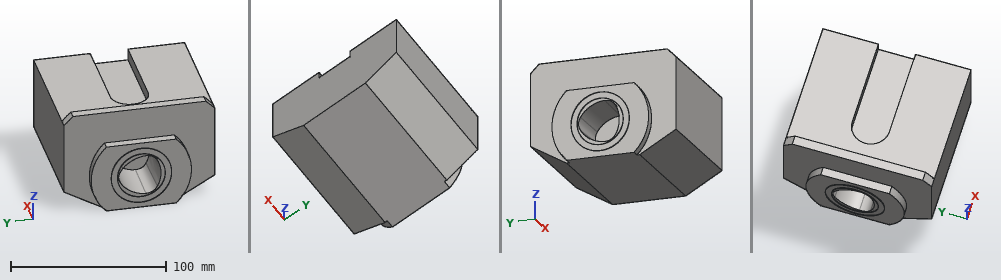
import cadquery as cq
import math

WIDTH = 100.0
BODY_LENGTH = 87.0
BODY_HEIGHT = 64.0
PLATE_HEIGHT = 70.0
PLATE_THICKNESS = 6.0
PLATE_CHAMFER = 6.0
BOTTOM_BEVEL_WIDTH = 25.0
BOTTOM_BEVEL_ANGLE = 30.0
BOTTOM_BEVEL_HEIGHT = BOTTOM_BEVEL_WIDTH * math.tan(math.radians(BOTTOM_BEVEL_ANGLE))

FLANGE_DIAMETER = 66.4
FLANGE_HEIGHT = 47.6
FLANGE_THICKNESS = 5.5
RING_OUTER_DIAMETER = 40.0
RING_INNER_DIAMETER = 31.6
RING_THICKNESS = 0.5
AXIS_HEIGHT = FLANGE_HEIGHT / 2

SLOT_WIDTH = 25.0
SLOT_LENGTH = 70.0
SLOT_DEPTH = 8.0

BORE_MEAN_DIAMETER = 28.0
BORE_ECCENTRICITY = 1.0
BORE_DEPTH = 30.0
BORE_TAPER = 1 / 20
LOBES = 3
POINTS_PER_SPAN = 9
PIN_DIAMETER = 2.5
PIN_DEPTH = 25.0
PIN_TIP_RADIUS = 11.2
PIN_ROOT_RADIUS = 16.0

FLANGE_FACE_X = -FLANGE_THICKNESS


def section_plane(x, z=0):
    """Plane across the spindle axis, with local x along +Y and local y along +Z."""
    return cq.Plane(origin=(x, 0, z), xDir=(0, 1, 0), normal=(1, 0, 0))


def beveled_prism(height, length):
    half_width = WIDTH / 2
    base_half_width = half_width - BOTTOM_BEVEL_WIDTH
    outline = [
        (-base_half_width, 0),
        (base_half_width, 0),
        (half_width, BOTTOM_BEVEL_HEIGHT),
        (half_width, height),
        (-half_width, height),
        (-half_width, BOTTOM_BEVEL_HEIGHT),
    ]
    return cq.Workplane(section_plane(0)).polyline(outline).close().extrude(length)


def front_plate():
    plate = beveled_prism(PLATE_HEIGHT, PLATE_THICKNESS)
    return plate.edges("|X and >Z").chamfer(PLATE_CHAMFER)


def flange():
    plane = section_plane(FLANGE_FACE_X, AXIS_HEIGHT)
    disc = cq.Workplane(plane).circle(FLANGE_DIAMETER / 2).extrude(FLANGE_THICKNESS)
    flats = cq.Workplane(plane).rect(WIDTH, FLANGE_HEIGHT).extrude(FLANGE_THICKNESS)
    return disc.intersect(flats)


def contact_ring():
    return (
        cq.Workplane(section_plane(FLANGE_FACE_X - RING_THICKNESS, AXIS_HEIGHT))
        .circle(RING_OUTER_DIAMETER / 2)
        .circle(RING_INNER_DIAMETER / 2)
        .extrude(RING_THICKNESS)
    )


def top_slot():
    radius = SLOT_WIDTH / 2
    straight_start = BODY_LENGTH - SLOT_LENGTH + radius
    return (
        cq.Workplane("XY", origin=(0, 0, BODY_HEIGHT - SLOT_DEPTH))
        .moveTo(BODY_LENGTH, -radius)
        .lineTo(straight_start, -radius)
        .threePointArc((straight_start - radius, 0), (straight_start, radius))
        .lineTo(BODY_LENGTH, radius)
        .close()
        .extrude(SLOT_DEPTH)
    )


def lobed_point(angle, mean_diameter, x):
    """Point of the lobed outline: flat side toward -Y at angle zero, lobe toward +Y."""
    radius = mean_diameter / 2
    e = BORE_ECCENTRICITY
    across = radius * math.cos(angle) - 2 * e * math.cos(2 * angle) + e * math.cos(4 * angle)
    up = radius * math.sin(angle) + 2 * e * math.sin(2 * angle) + e * math.sin(4 * angle)
    return cq.Vector(x, -across, AXIS_HEIGHT + up)


def lobed_wire(depth):
    """Outline at a bore depth, one smooth curve for each flat side and each lobe."""
    mean_diameter = BORE_MEAN_DIAMETER - BORE_TAPER * depth
    span_angle = math.pi / LOBES
    spans = []
    for index in range(2 * LOBES):
        start = (index - 0.5) * span_angle
        angles = [start + span_angle * i / (POINTS_PER_SPAN - 1) for i in range(POINTS_PER_SPAN)]
        points = [lobed_point(angle, mean_diameter, FLANGE_FACE_X + depth) for angle in angles]
        spans.append(cq.Edge.makeSpline(points))
    return cq.Wire.assembleEdges(spans)


def tool_bore():
    return cq.Workplane(cq.Solid.makeLoft([lobed_wire(0), lobed_wire(BORE_DEPTH)], True))


def locating_pin():
    return (
        cq.Workplane("XZ", origin=(FLANGE_FACE_X + PIN_DEPTH, -PIN_TIP_RADIUS, AXIS_HEIGHT))
        .circle(PIN_DIAMETER / 2)
        .extrude(PIN_ROOT_RADIUS - PIN_TIP_RADIUS)
    )


body = beveled_prism(BODY_HEIGHT, BODY_LENGTH).cut(top_slot())
housing = body.union(front_plate()).union(flange()).union(contact_ring())
result = housing.cut(tool_bore()).union(locating_pin())